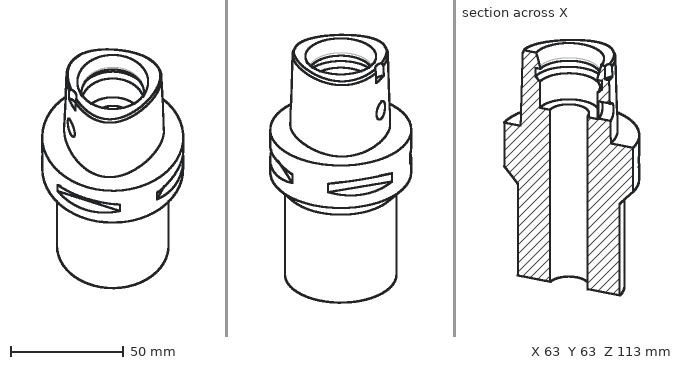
import cadquery as cq
import math

length = 113.0
flange_radius = 31.5
flange_top = 75.0
flange_bottom = 53.0
body_radius = 25.0
body_top = 45.7

shank_base_radius = 22.1
shank_top_radius = 21.1
lobe_eccentricity = 1.5
shank_chamfer_height = 1.6
shank_chamfer_width = 0.7
lobe_points = 36

mouth_radius = 15.8
mouth_cone_depth = 6.4
seat_radius = 14.0
seat_depth = 27.1
groove_radius = 16.2
groove_top_depth = 7.9
groove_cone_depth = 12.0
through_radius = 9.0

notch_radius = 5.1
notch_bottom_y = -17.9
notch_depth = 6.7
pin_hole_radius = 4.2
pin_hole_z = 90.4
pin_hole_floor_y = -14.7

slot_count = 4
slot_z = 63.0
slot_floor_distance = 27.7
slot_floor_height = 4.3
slot_mouth_height = 7.9


def lobed_wire(mean_radius, z):
    """Closed three-lobed curve with one lobe pointing to +Y."""
    points = []
    for i in range(lobe_points):
        angle = 2 * math.pi * i / lobe_points
        x = mean_radius * math.sin(angle) - lobe_eccentricity * math.sin(2 * angle)
        y = mean_radius * math.cos(angle) + lobe_eccentricity * math.cos(2 * angle)
        points.append(cq.Vector(x, y, z))
    return cq.Wire.assembleEdges([cq.Edge.makeSpline(points, periodic=True)])


def make_body():
    profile = [
        (0, 0),
        (body_radius, 0),
        (body_radius, body_top),
        (flange_radius, flange_bottom),
        (flange_radius, flange_top),
        (0, flange_top),
    ]
    return cq.Workplane("XZ").polyline(profile).close().revolve(360, (0, 0), (0, 1))


def make_shank():
    chamfer_start = length - shank_chamfer_height
    base = lobed_wire(shank_base_radius, flange_top)
    shoulder = lobed_wire(shank_top_radius, chamfer_start)
    tip = lobed_wire(shank_top_radius - shank_chamfer_width, length)
    taper = cq.Solid.makeLoft([base, shoulder], True)
    chamfer = cq.Solid.makeLoft([shoulder, tip], True)
    return cq.Workplane(taper).union(cq.Workplane(chamfer))


def make_bore():
    """Tapered mouth, undercut with a 45 degree lower face, flat seat and through hole."""
    seat_z = length - seat_depth
    groove_top = length - groove_top_depth
    groove_cone_top = length - groove_cone_depth
    groove_cone_bottom = groove_cone_top - (groove_radius - seat_radius)
    profile = [
        (0, 0),
        (through_radius, 0),
        (through_radius, seat_z),
        (seat_radius, seat_z),
        (seat_radius, groove_cone_bottom),
        (groove_radius, groove_cone_top),
        (groove_radius, groove_top),
        (seat_radius, groove_top),
        (seat_radius, length - mouth_cone_depth),
        (mouth_radius, length),
        (0, length),
    ]
    return cq.Workplane("XZ").polyline(profile).close().revolve(360, (0, 0), (0, 1))


def make_notch():
    plane = cq.Workplane("XY", origin=(0, notch_bottom_y - notch_radius, length - notch_depth))
    return plane.circle(notch_radius).extrude(notch_depth)


def make_pin_hole():
    plane = cq.Workplane("XZ", origin=(0, pin_hole_floor_y, pin_hole_z))
    return plane.circle(pin_hole_radius).extrude(shank_base_radius + pin_hole_floor_y)


def make_slot(angle):
    """Straight trapezoidal slot that widens toward the flange surface."""
    half_floor = slot_floor_height / 2
    half_mouth = slot_mouth_height / 2
    profile = [
        (slot_floor_distance, slot_z - half_floor),
        (flange_radius, slot_z - half_mouth),
        (flange_radius, slot_z + half_mouth),
        (slot_floor_distance, slot_z + half_floor),
    ]
    slot = cq.Workplane("XZ").polyline(profile).close().extrude(flange_radius, both=True)
    return slot.rotate((0, 0, 0), (0, 0, 1), angle)


result = make_body().union(make_shank())
result = result.cut(make_bore()).cut(make_notch()).cut(make_pin_hole())
slot_spacing = 360 / slot_count
for index in range(slot_count):
    result = result.cut(make_slot(slot_spacing * (index + 0.5)))